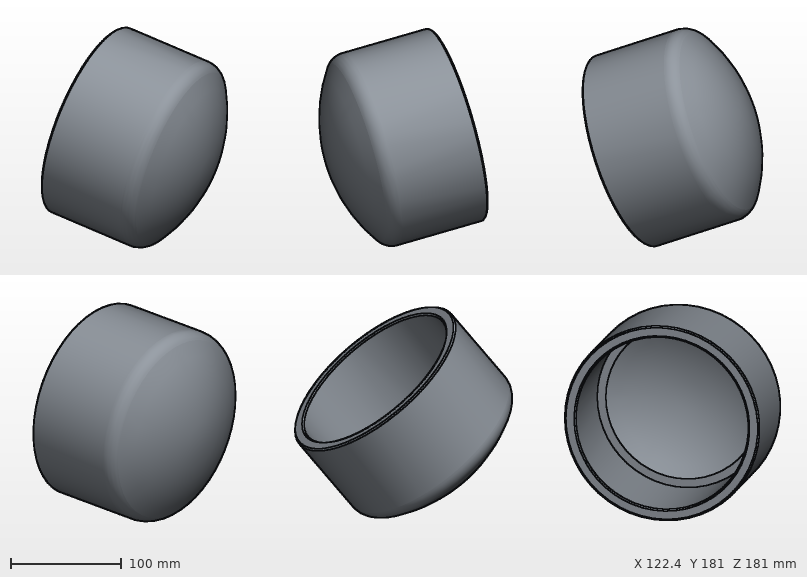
import cadquery as cq
import math

outer_radius = 90.5
total_length = 122.4
rim_chamfer = 1.5

knuckle_start = 82.4
knuckle_radius = 15.5

socket_radius = 80.0
socket_depth = 85.8

hollow_rim_radius = 72.0

knuckle_center_radius = outer_radius - knuckle_radius
crown_height = total_length - knuckle_start
crown_radius = (knuckle_center_radius**2 + crown_height**2 - knuckle_radius**2) / (
    2 * (crown_height - knuckle_radius)
)
crown_center = total_length - crown_radius


def knuckle_point(angle):
    """Point on the knuckle arc, with the angle measured from the +X axis."""
    return (
        knuckle_start + knuckle_radius * math.cos(angle),
        knuckle_center_radius + knuckle_radius * math.sin(angle),
    )


def sphere_point(radius, angle):
    """Point on a sphere about the crown center, with the angle measured from the +X axis."""
    return (
        crown_center + radius * math.cos(angle),
        radius * math.sin(angle),
    )


def make_body():
    """Solid outer shape, revolved about X."""
    tangent_angle = math.atan2(knuckle_center_radius, knuckle_start - crown_center)
    return (
        cq.Workplane("XY")
        .lineTo(0, outer_radius - rim_chamfer)
        .lineTo(rim_chamfer, outer_radius)
        .lineTo(knuckle_start, outer_radius)
        .threePointArc(
            knuckle_point((tangent_angle + math.pi / 2) / 2),
            knuckle_point(tangent_angle),
        )
        .threePointArc(sphere_point(crown_radius, tangent_angle / 2), (total_length, 0))
        .close()
        .revolve(360, (0, 0, 0), (1, 0, 0))
    )


def make_cavity():
    """Socket with a chamfered mouth and a spherical hollow, revolved about X."""
    floor_distance = socket_depth - crown_center
    hollow_sphere_radius = math.hypot(floor_distance, hollow_rim_radius)
    rim_angle = math.atan2(hollow_rim_radius, floor_distance)
    return (
        cq.Workplane("XY")
        .lineTo(0, socket_radius + rim_chamfer)
        .lineTo(rim_chamfer, socket_radius)
        .lineTo(socket_depth, socket_radius)
        .lineTo(socket_depth, hollow_rim_radius)
        .threePointArc(
            sphere_point(hollow_sphere_radius, rim_angle / 2),
            sphere_point(hollow_sphere_radius, 0),
        )
        .close()
        .revolve(360, (0, 0, 0), (1, 0, 0))
    )


result = make_body().cut(make_cavity())